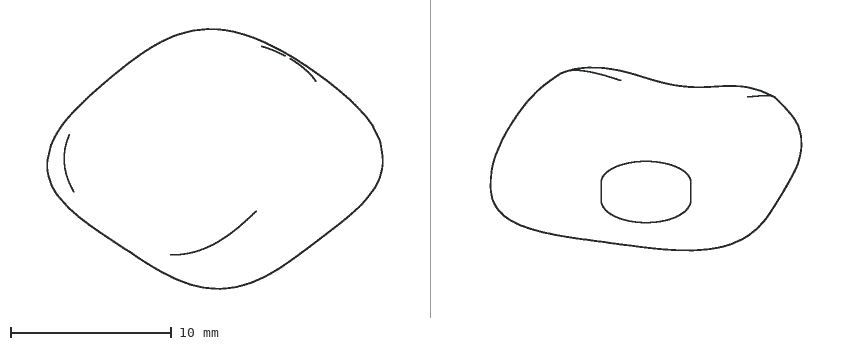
import cadquery as cq
import math

CAP_HALF_LENGTH_X = 8.96
CAP_HALF_LENGTH_Y = 8.945
CAP_SQUARENESS = 3.62
WIDEST_HEIGHT = 1.15
BASE_INSET = 0.88

SHOULDER_HALF_WIDTH = 6.97
SHOULDER_CENTRE_Y = -2.6
SHOULDER_REAR_Y = 7.35
SHOULDER_FRONT_Y = -8.88
SHOULDER_REAR_EXPONENT = 2.0
SHOULDER_FRONT_EXPONENT = 3.3
SHOULDER_PEAK_Y = 4.0
SHOULDER_PEAK_HEIGHT = 5.2
SHOULDER_FRONT_HEIGHT = 1.2
SHOULDER_FOOT_MARGIN = 0.005
SHOULDER_FRONT_RUN = SHOULDER_PEAK_Y - SHOULDER_FRONT_Y + SHOULDER_FOOT_MARGIN
SHOULDER_REAR_RUN = 4.95
SHOULDER_FRONT_DROP_EXPONENT = 2.1
SHOULDER_REAR_DROP_EXPONENT = 3.0
WALL_CURVE_EXPONENT = 2.75

DISH_HALF_WIDTH = 4.53
DISH_CENTRE_Y = -1.5
DISH_REAR_Y = 5.2
DISH_FRONT_Y = -7.25
DISH_REAR_EXPONENT = 2.3
DISH_FRONT_EXPONENT = 3.2
DISH_MIDDLE_HEIGHT = 4.03
DISH_SLOPE = 0.177
DISH_BEND = 0.0037
DISH_CURVATURE = 0.046
DISH_CURVATURE_CHANGE = -0.0037
RIM_RISE = 0.30
RIM_RISE_CHANGE = -0.018

STEM_DIAMETER = 5.6
STEM_LENGTH = 1.4
STEM_EDGE_RADIUS = 0.2
STEM_OVERLAP = 1.0

RING_POINTS = 32
BASE_ROUND_STEPS = 4
WALL_STEPS = 5
RIM_STEPS = 6
DISH_RING_POINTS = 8
DISH_RING_SCALES = (0.35, 0.7)


def oval_point(angle, half_width, centre_y, front_y, rear_y, front_exponent, rear_exponent):
    """Point at a polar angle on an oval made of a front and a rear half superellipse."""
    across, along = math.cos(angle), math.sin(angle)
    if along >= 0:
        half_length, exponent = rear_y - centre_y, rear_exponent
    else:
        half_length, exponent = centre_y - front_y, front_exponent
    power_sum = abs(across / half_width) ** exponent + abs(along / half_length) ** exponent
    radius = power_sum ** (-1 / exponent)
    return radius * across, centre_y + radius * along


def plan_point(angle, inset):
    """Point on the cap's plan outline, moved inwards by an inset."""
    half_y = CAP_HALF_LENGTH_Y - inset
    return oval_point(
        angle, CAP_HALF_LENGTH_X - inset, 0, -half_y, half_y, CAP_SQUARENESS, CAP_SQUARENESS
    )


def shoulder_height(y):
    """Height of the shoulder oval: a long slope forward of its peak, a short drop behind it."""
    if y < SHOULDER_PEAK_Y:
        run, exponent = SHOULDER_FRONT_RUN, SHOULDER_FRONT_DROP_EXPONENT
    else:
        run, exponent = SHOULDER_REAR_RUN, SHOULDER_REAR_DROP_EXPONENT
    fraction = abs(y - SHOULDER_PEAK_Y) / run
    rise = SHOULDER_PEAK_HEIGHT - SHOULDER_FRONT_HEIGHT
    return SHOULDER_FRONT_HEIGHT + rise * (1 - fraction**exponent) ** (1 / exponent)


def dish_height(x, y):
    curvature = DISH_CURVATURE + DISH_CURVATURE_CHANGE * y
    return DISH_MIDDLE_HEIGHT + DISH_SLOPE * y + DISH_BEND * y**2 + curvature * x**2


def base_point(angle, turn):
    """Point on the round between underside (turn = 0) and widest outline (turn = 90 degrees)."""
    x, y = plan_point(angle, BASE_INSET * (1 - math.sin(turn)))
    return cq.Vector(x, y, WIDEST_HEIGHT * (1 - math.cos(turn)))


def shoulder_point(angle):
    x, y = oval_point(
        angle, SHOULDER_HALF_WIDTH, SHOULDER_CENTRE_Y, SHOULDER_FRONT_Y, SHOULDER_REAR_Y,
        SHOULDER_FRONT_EXPONENT, SHOULDER_REAR_EXPONENT,
    )
    return cq.Vector(x, y, shoulder_height(y))


def wall_point(angle, rise):
    """Point on the side wall, from the widest outline (rise = 0) to the shoulder (rise = 1)."""
    foot = base_point(angle, math.pi / 2)
    top = shoulder_point(angle)
    lean = rise**WALL_CURVE_EXPONENT
    return cq.Vector(
        foot.x + (top.x - foot.x) * lean,
        foot.y + (top.y - foot.y) * lean,
        foot.z + (top.z - foot.z) * rise,
    )


def dish_point(angle, scale=1):
    """Point of the dish surface on its oval, or on the oval shrunk by a scale."""
    x, y = oval_point(
        angle, DISH_HALF_WIDTH, DISH_CENTRE_Y, DISH_FRONT_Y, DISH_REAR_Y,
        DISH_FRONT_EXPONENT, DISH_REAR_EXPONENT,
    )
    x, y = x * scale, DISH_CENTRE_Y + (y - DISH_CENTRE_Y) * scale
    return cq.Vector(x, y, dish_height(x, y))


def rim_point(angle, across):
    """Point on the arched rim, from the shoulder (across = 0) to the dish (across = 1)."""
    outer, inner = shoulder_point(angle), dish_point(angle)
    middle = (outer + inner) * 0.5
    crest_rise = RIM_RISE + RIM_RISE_CHANGE * middle.y
    arch = 4 * crest_rise * across * (1 - across)
    return outer + (inner - outer) * across + cq.Vector(0, 0, arch)


def ring_of(point_at, position):
    """Closed smooth wire around the cap, at one position of a band of its surface."""
    angles = [2 * math.pi * i / RING_POINTS for i in range(RING_POINTS)]
    points = [point_at(angle, position) for angle in angles]
    return cq.Wire.assembleEdges([cq.Edge.makeSpline(points, periodic=True)])


def make_band(point_at, end_position, steps):
    """Smooth band of surface through rings at equal steps from position 0 to the end position."""
    rings = [ring_of(point_at, end_position * i / steps) for i in range(steps + 1)]
    return cq.occ_impl.shapes.loft(*rings).Faces()


def make_dish():
    """Finger dish bounded by the dish oval and passing through rings of floor points."""
    floor_points = [
        dish_point(2 * math.pi * i / DISH_RING_POINTS, scale)
        for scale in DISH_RING_SCALES
        for i in range(DISH_RING_POINTS)
    ]
    return cq.Face.makeNSidedSurface(ring_of(dish_point, 1).Edges(), floor_points)


def make_cap():
    underside = cq.Face.makeFromWires(ring_of(base_point, 0))
    base_round = make_band(base_point, math.pi / 2, BASE_ROUND_STEPS)
    wall = make_band(wall_point, 1, WALL_STEPS)
    rim = make_band(rim_point, 1, RIM_STEPS)
    skin = cq.Shell.makeShell([underside, *base_round, *wall, *rim, make_dish()])
    return cq.Solid.makeSolid(skin)


def make_stem():
    return (
        cq.Workplane("XY")
        .workplane(offset=-STEM_LENGTH)
        .circle(STEM_DIAMETER / 2)
        .extrude(STEM_LENGTH + STEM_OVERLAP)
        .faces("<Z")
        .edges()
        .fillet(STEM_EDGE_RADIUS)
    )


cap_with_stem = make_cap().fuse(make_stem().val())
result = cq.Workplane("XY").newObject(cap_with_stem.Solids())